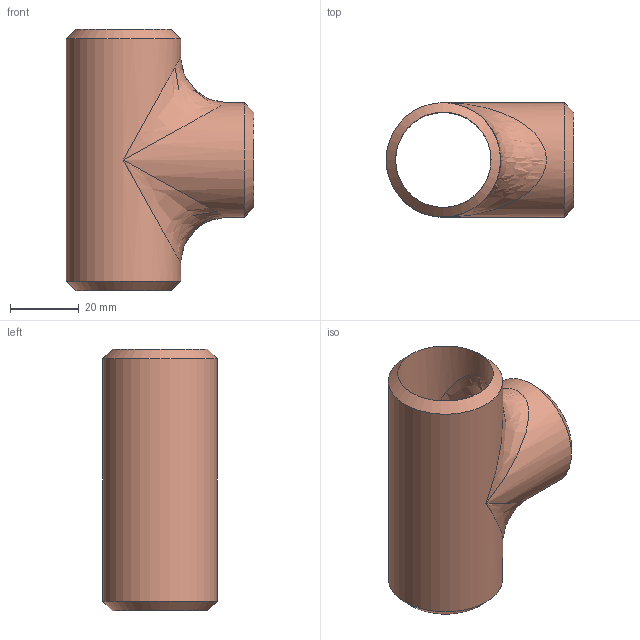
import math

import cadquery as cq

OUTER_DIAMETER = 33.4
WALL = 2.77
CENTER_TO_END = 38.1
CROTCH_RADIUS = 13.36
BEVEL_LENGTH = WALL
CROTCH_SECTIONS = 9

OUTER_RADIUS = OUTER_DIAMETER / 2
BORE_RADIUS = OUTER_RADIUS - WALL

CROTCH_CENTER = OUTER_RADIUS + CROTCH_RADIUS

ORIGIN = cq.Vector(0, 0, 0)
ALONG_X = cq.Vector(1, 0, 0)
ALONG_Y = cq.Vector(0, 1, 0)
ALONG_Z = cq.Vector(0, 0, 1)


def half_ellipse(radius, fraction):
    """Half ellipse through both pipes' meeting points on the Y axis and a point of the crotch arc.

    The fraction runs from 0, where the arc leaves the run, to 1, where it joins the branch.
    """
    arc_radius = CROTCH_CENTER - radius
    angle = math.pi + fraction * math.pi / 2
    x = CROTCH_CENTER + arc_radius * math.cos(angle)
    z = CROTCH_CENTER + arc_radius * math.sin(angle)
    outward = cq.Vector(x, 0, z)
    return cq.Edge.makeEllipse(
        outward.Length, radius, ORIGIN, outward.cross(ALONG_Y), outward, angle1=270, angle2=90
    )


def half_ellipse_face(edge):
    """Flat face between a half ellipse and its diameter on the Y axis."""
    diameter = cq.Edge.makeLine(edge.endPoint(), edge.startPoint())
    return cq.Face.makeFromWires(cq.Wire.assembleEdges([edge, diameter]))


def crotch_wedge(radius):
    """Wedge in the upper corner between run and branch, hinged on the Y axis and blending the two."""
    last = CROTCH_SECTIONS - 1
    sections = [half_ellipse(radius, index / last) for index in range(CROTCH_SECTIONS)]
    blend = cq.occ_impl.shapes.loft(*sections)
    caps = [half_ellipse_face(sections[0]), half_ellipse_face(sections[-1])]
    return cq.occ_impl.shapes.solid(blend, *caps)


def tee(radius):
    """Solid tee of the given pipe radius with blended crotches and square ends."""
    run = cq.Solid.makeCylinder(radius, 2 * CENTER_TO_END, ALONG_Z * -CENTER_TO_END, ALONG_Z)
    branch = cq.Solid.makeCylinder(radius, CENTER_TO_END, ORIGIN, ALONG_X)
    upper_wedge = crotch_wedge(radius)
    lower_wedge = upper_wedge.mirror("XY")
    return run.fuse(branch, upper_wedge, lower_wedge)


def bevel_cutter(direction):
    """Ring that bevels the pipe end facing the given direction, down to the bore edge."""
    start = direction * (CENTER_TO_END - BEVEL_LENGTH)
    sleeve = cq.Solid.makeCylinder(2 * OUTER_RADIUS, BEVEL_LENGTH, start, direction)
    cone = cq.Solid.makeCone(OUTER_RADIUS, BORE_RADIUS, BEVEL_LENGTH, start, direction)
    return sleeve.cut(cone)


body = tee(OUTER_RADIUS)
for pipe_direction in (ALONG_Z, -ALONG_Z, ALONG_X):
    body = body.cut(bevel_cutter(pipe_direction))
body = body.cut(tee(BORE_RADIUS))

result = cq.Workplane("XY").newObject([body])